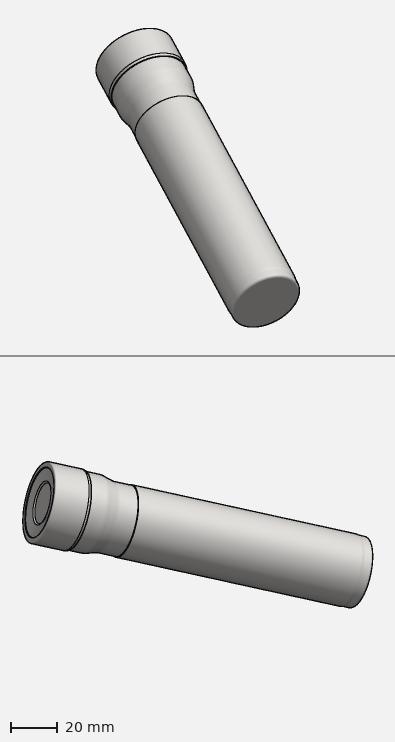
import cadquery as cq
import math

overall_length = 149.95
front_x = -overall_length / 2

head_diameter = 36.07
head_length = 15.6
head_front_round = 0.7
rim_inner_diameter = 31.2
rim_slope_depth = 0.15
rim_step = 0.3
dish_inner_diameter = 19.3
dish_slope_depth = 0.9
window_diameter = 17.9
window_step_depth = 0.65

shoulder_land = 0.35
shoulder_length = 1.35
shoulder_drop = 0.3
collar_diameter = 34.8
collar_front_diameter = 34.6
collar_lead_length = 1.85
flare_start = 24.75
flare_length = 5.95
flare_round = 5.0
neck_diameter = 31.5
barrel_diameter = 32.0
barrel_start = 39.5
tail_taper_start = 144.6
tail_start = 145.9
tail_round = 1.2


def turn(outline):
    """Turn a closed half outline a full circle about the X axis."""
    return outline.close().revolve(360, (0, 0, 0), (1, 0, 0))


def start_outline(distance):
    """Start a half outline on the axis, at a distance from the front of the head."""
    return cq.Workplane("XY", origin=(front_x, 0, 0)).moveTo(distance, 0)


def make_head():
    head_radius = head_diameter / 2
    rim_radius = rim_inner_diameter / 2
    dish_start = rim_slope_depth + rim_step
    dish_end = dish_start + dish_slope_depth
    window_floor = dish_end + window_step_depth
    outline = (
        start_outline(window_floor)
        .lineTo(window_floor, window_diameter / 2)
        .lineTo(dish_end, dish_inner_diameter / 2)
        .lineTo(dish_start, rim_radius - rim_step)
        .lineTo(rim_slope_depth, rim_radius)
        .lineTo(0, head_radius - head_front_round)
        .radiusArc((head_front_round, head_radius), head_front_round)
        .lineTo(head_length, head_radius)
        .lineTo(head_length, 0)
    )
    return turn(outline)


def make_handle():
    head_radius = head_diameter / 2
    collar_radius = collar_diameter / 2
    neck_radius = neck_diameter / 2
    barrel_radius = barrel_diameter / 2
    barrel_chamfer = barrel_radius - neck_radius
    shoulder_end = head_length + shoulder_length

    flare_angle = math.atan2(collar_radius - neck_radius, flare_length)
    round_reach = flare_round * math.tan(flare_angle / 2)
    reach_along = round_reach * math.cos(flare_angle)
    reach_inward = round_reach * math.sin(flare_angle)
    flare_end = flare_start + flare_length

    outline = (
        start_outline(head_length)
        .lineTo(head_length, head_radius)
        .lineTo(head_length + shoulder_land, head_radius)
        .lineTo(shoulder_end, head_radius - shoulder_drop)
        .lineTo(shoulder_end, collar_front_diameter / 2)
        .lineTo(shoulder_end + collar_lead_length, collar_radius)
        .lineTo(flare_start - round_reach, collar_radius)
        .radiusArc((flare_start + reach_along, collar_radius - reach_inward), flare_round)
        .lineTo(flare_end - reach_along, neck_radius + reach_inward)
        .radiusArc((flare_end + round_reach, neck_radius), -flare_round)
        .lineTo(barrel_start, neck_radius)
        .lineTo(barrel_start + barrel_chamfer, barrel_radius)
        .lineTo(tail_taper_start, barrel_radius)
        .lineTo(tail_start, neck_radius)
        .lineTo(overall_length - tail_round, neck_radius)
        .radiusArc((overall_length, neck_radius - tail_round), tail_round)
        .lineTo(overall_length, 0)
    )
    return turn(outline)


head = make_head()
handle = make_handle()
result = cq.Compound.makeCompound([head.val(), handle.val()])